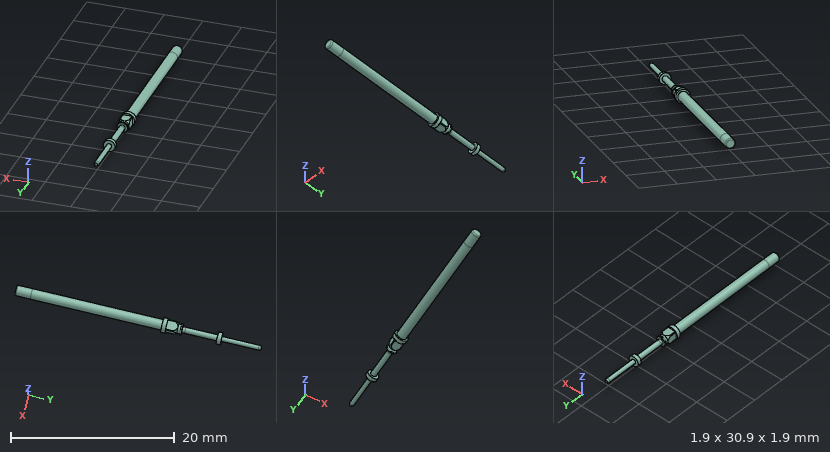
import cadquery as cq

total_length = 30.9
tip_y = total_length / 2
end_y = -total_length / 2

pin_diameter = 0.65
pin_length = 4.97
tip_round_length = 0.3
tip_flat_diameter = 0.43

stop_diameter = 1.55
stop_width = 0.55

shaft_diameter = 0.8
shaft_length = 4.02
neck_end_diameter = 0.77
neck_length = 0.37

rim_diameter = 1.35
ring_crown_diameter = 1.45
ring_width = 0.22
groove_diameter = 1.17
groove_width = 0.35

across_flats = 1.35
corner_diameter = 1.8
square_length = 1.42
lead_in_length = 0.43

shoulder_diameter = 1.9
shoulder_width = 0.55
barrel_diameter = 1.35
tail_length = 1.98
tail_end_diameter = 1.33
barrel_end_fillet = 0.15

stop_y = tip_y - pin_length
shaft_y = stop_y - stop_width
neck_y = shaft_y - shaft_length
ring_y = neck_y - neck_length
groove_y = ring_y - ring_width
square_y = groove_y - groove_width
shoulder_y = square_y - square_length
barrel_y = shoulder_y - shoulder_width


def turn(profile):
    """Revolve a closed half profile in the XY plane about the Y axis."""
    return profile.revolve(360, (0, 0, 0), (0, 1, 0))


def pin_and_shaft():
    """Round-tipped pin, stop collar, shaft and tapered neck."""
    profile = (
        cq.Workplane("XY")
        .moveTo(0, ring_y)
        .lineTo(neck_end_diameter / 2, ring_y)
        .lineTo(shaft_diameter / 2, neck_y)
        .lineTo(shaft_diameter / 2, shaft_y)
        .lineTo(stop_diameter / 2, shaft_y)
        .lineTo(stop_diameter / 2, stop_y)
        .lineTo(pin_diameter / 2, stop_y)
        .lineTo(pin_diameter / 2, tip_y - tip_round_length)
        .tangentArcPoint((tip_flat_diameter / 2, tip_y), relative=False)
        .lineTo(0, tip_y)
        .close()
    )
    return turn(profile)


def ring_and_square():
    """Crowned ring, groove, lead-in cone and square drive, all trimmed by the four square flats."""
    ring_middle = (ring_crown_diameter / 2, ring_y - ring_width / 2)
    groove_middle = (groove_diameter / 2, groove_y - groove_width / 2)
    profile = (
        cq.Workplane("XY")
        .moveTo(0, ring_y)
        .lineTo(rim_diameter / 2, ring_y)
        .threePointArc(ring_middle, (rim_diameter / 2, groove_y))
        .threePointArc(groove_middle, (rim_diameter / 2, square_y))
        .lineTo(corner_diameter / 2, square_y - lead_in_length)
        .lineTo(corner_diameter / 2, shoulder_y)
        .lineTo(0, shoulder_y)
        .close()
    )
    length = ring_y - shoulder_y
    flats = cq.Workplane("XY").box(across_flats, length, across_flats)
    return turn(profile).intersect(flats.translate((0, shoulder_y + length / 2, 0)))


def barrel():
    """Shoulder collar and long barrel with its tapered, rounded tail."""
    profile = (
        cq.Workplane("XY")
        .moveTo(0, shoulder_y)
        .lineTo(shoulder_diameter / 2, shoulder_y)
        .lineTo(shoulder_diameter / 2, barrel_y)
        .lineTo(barrel_diameter / 2, barrel_y)
        .lineTo(barrel_diameter / 2, end_y + tail_length)
        .lineTo(tail_end_diameter / 2, end_y)
        .lineTo(0, end_y)
        .close()
    )
    return turn(profile).faces("<Y").edges().fillet(barrel_end_fillet)


result = pin_and_shaft().union(ring_and_square()).union(barrel())